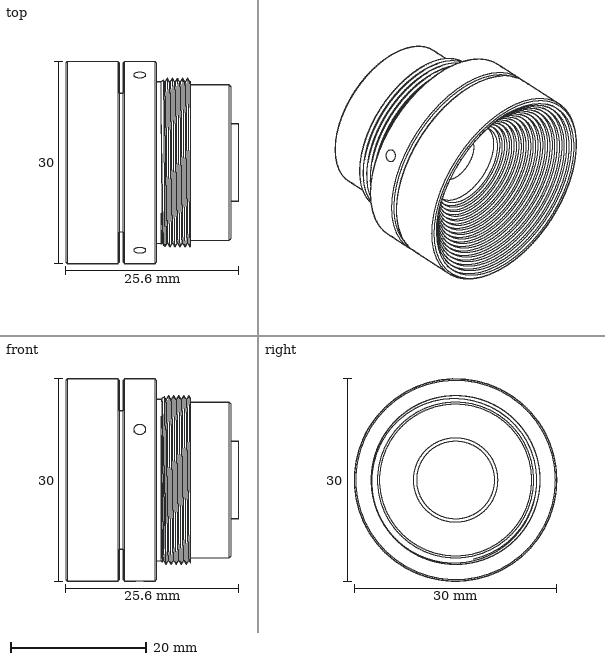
import cadquery as cq
import math

outer_radius = 15.0
edge_chamfer = 0.25
total_length = 25.6

hood_end = 7.95
core_start = 8.5
thread_end = 18.48
barrel_end = 24.48

neck_radius = 10.3
core_radius = 12.0
rear_radius = 11.55
rear_chamfer = 0.3

step_size = 1.5 / 3
step_count = 17
mouth_radius = 14.25

thread_pitch = 0.75
crest_radius = 12.5
flank_half_angle = 30.0
root_overlap = 0.1
thread_start = 13.35
thread_turns = 8
runout_start = 14.1
runout_end = 14.85

ring_length = 4.95
pin_hole_diameter = 1.75
pin_hole_count = 3
first_pin_hole_angle = 30.0

insert_radius = mouth_radius - (step_count - 1) * step_size
insert_start = 8.8
funnel_floor_radius = 3.6
funnel_depth = 1.5
boss_radius = 5.75


def turned(points):
    """Solid of revolution about X from (x, radius) points."""
    return cq.Workplane("XY").polyline(points).close().revolve(360, (0, 0, 0), (1, 0, 0))


def make_threaded_section():
    """Rear part of the core with a right-handed helical ridge, fading in in front and cut square behind."""
    thread_length = thread_turns * thread_pitch
    base_radius = core_radius - root_overlap
    half_width = (crest_radius - base_radius) * math.tan(math.radians(flank_half_angle))
    helix = cq.Wire.makeHelix(thread_pitch, thread_length, core_radius)
    ridge = (
        cq.Workplane("XZ")
        .polyline([(base_radius, -half_width), (crest_radius, 0), (base_radius, half_width)])
        .close()
        .sweep(cq.Workplane(helix), isFrenet=True)
        .rotate((0, 0, 0), (0, 1, 0), 90)
        .translate((thread_start, 0, 0))
    )
    blank_end = thread_start + thread_length + thread_pitch
    blank = cq.Workplane("YZ", origin=(core_start, 0, 0)).circle(core_radius).extrude(blank_end - core_start)
    clearance_radius = crest_radius + 0.3
    envelope = turned([
        (runout_start, 0),
        (runout_start, core_radius),
        (runout_end, crest_radius),
        (runout_end, clearance_radius),
        (thread_end, clearance_radius),
        (thread_end, 0),
    ])
    return blank.union(ridge).intersect(envelope)


def make_barrel():
    """Hood, neck, threaded core and rear cylinder, bored for the baffle and the insert."""
    body = turned([
        (0, 0),
        (0, outer_radius - edge_chamfer),
        (edge_chamfer, outer_radius),
        (hood_end - edge_chamfer, outer_radius),
        (hood_end, outer_radius - edge_chamfer),
        (hood_end, neck_radius),
        (core_start, neck_radius),
        (core_start, core_radius),
        (runout_start, core_radius),
        (runout_start, rear_radius),
        (thread_end, rear_radius),
        (barrel_end - rear_chamfer, rear_radius),
        (barrel_end, rear_radius - rear_chamfer),
        (barrel_end, 0),
    ])
    bore_points = [(0, 0)]
    for step in range(step_count):
        radius = mouth_radius - step * step_size
        bore_points.append((step * step_size, radius))
        bore_points.append(((step + 1) * step_size, radius))
    bore_points.append((step_count * step_size, 0))
    baffle = turned(bore_points)
    insert_bore = cq.Workplane("YZ").circle(insert_radius).extrude(barrel_end)
    return body.union(make_threaded_section()).cut(baffle).cut(insert_bore)


def make_lock_ring():
    """Chamfered ring seated on the front of the core, with radial pin holes."""
    ring = (
        cq.Workplane("YZ", origin=(core_start, 0, 0))
        .circle(outer_radius)
        .extrude(ring_length)
        .faces("<X or >X")
        .chamfer(edge_chamfer)
    )
    bore = cq.Workplane("YZ", origin=(core_start, 0, 0)).circle(core_radius).extrude(ring_length)
    ring = ring.cut(bore)
    hole = (
        cq.Workplane("XZ", origin=(core_start + ring_length / 2, 0, 0))
        .circle(pin_hole_diameter / 2)
        .extrude(-outer_radius)
    )
    for index in range(pin_hole_count):
        angle = first_pin_hole_angle + index * 360 / pin_hole_count
        ring = ring.cut(hole.rotate((0, 0, 0), (1, 0, 0), angle))
    return ring


def make_lens_insert():
    """Plug filling the barrel bore, with a conical funnel in front and a boss behind."""
    return turned([
        (insert_start + funnel_depth, 0),
        (insert_start + funnel_depth, funnel_floor_radius),
        (insert_start, insert_radius),
        (barrel_end, insert_radius),
        (barrel_end, boss_radius),
        (total_length, boss_radius),
        (total_length, 0),
    ])


barrel = make_barrel()
lock_ring = make_lock_ring()
lens_insert = make_lens_insert()

result = cq.Compound.makeCompound([barrel.solids().val(), lock_ring.solids().val(), lens_insert.val()])